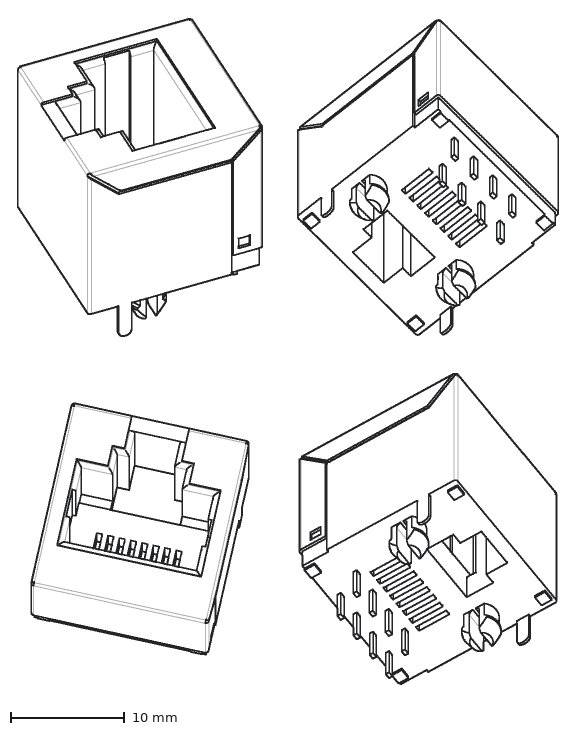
import cadquery as cq
import math


width = 16.0
depth = 16.74
height = 16.25
sheet = 0.25
leg_length = 3.65

side_panel_rear = 13.72
side_panel_front = 2.89
side_panel_top = 13.07
gap_horizontal = 0.34
gap_vertical = 0.16
gap_diagonal = 0.31
rear_flap_bottom = 2.18
overrun = 1.0

window_size = 1.13
window_y = 14.94
window_z = 3.4

lip_clearance = 0.08
lip_radius = 0.46
opening_step = lip_clearance + lip_radius
cavity_half = 5.96
cavity_front = 5.4
cavity_back = 12.24
latch_half = 3.14
latch_front = 3.56
key_half = 2.05
cavity_floor = 4.0
ledge_floor = 3.0
ledge_back = 6.38
relief_half = 6.28
relief_front = 7.58
relief_back = 10.03

bridge_back = 1.33

contact_count = 8
slot_pitch = 1.024
slot_width = 0.5
slot_front = 8.68
slot_back = 11.9

pin_pitch = 1.27
pin_width = 0.53
pin_thickness = 0.37
pin_length = 3.2
pin_rows = (12.95, 15.49)

pad_width = 1.05
pad_depth = 1.05
pad_height = 0.25
pad_x = 6.89
pad_front_y = 0.78
rear_pad_y = depth - sheet - pad_depth / 2

peg_x = 5.715
peg_y = 6.55
peg_width = 2.28
peg_radius = 1.57
barb_radius = 1.74
peg_tip_radius = 1.03
neck_z = -1.68
barb_top_z = -1.93
barb_bottom_z = -2.18
peg_slot_width = 1.04
peg_slot_center_z = -0.5

leg_y = 3.52
leg_width = 1.27
leg_tip_radius = 0.6


def block(x0, x1, y0, y1, z0, z1):
    return cq.Workplane("XY").box(x1 - x0, y1 - y0, z1 - z0, centered=False).translate((x0, y0, z0))


def both_sides(solid):
    return solid.union(solid.mirror("YZ"))


def stepped_outline(offset, front):
    """Plug opening with its latch and key steps, grown outwards by offset and open to front."""
    cavity, latch, key = cavity_half + offset, latch_half + offset, key_half + offset
    right = [
        (key, front),
        (key, latch_front - offset),
        (latch, latch_front - offset),
        (latch, cavity_front - offset),
        (cavity, cavity_front - offset),
        (cavity, cavity_back + offset),
    ]
    left = [(-x, y) for x, y in reversed(right)]
    return cq.Workplane("XY").polyline(right + left).close()


def shield_gaps():
    """Cutter for the gaps between the panels and the step under the rear flap, on the -X side."""
    rise = gap_diagonal / math.sqrt(2)
    rear_flap_front = side_panel_rear + gap_vertical
    top_flap_bottom = side_panel_top + gap_horizontal
    mitre = height - depth
    points = [
        (side_panel_rear, -overrun),
        (side_panel_rear, side_panel_top),
        (side_panel_front, side_panel_top),
        (-overrun, side_panel_top + side_panel_front + overrun),
        (-overrun, height + rise + overrun),
        (height + rise - top_flap_bottom, top_flap_bottom),
        (top_flap_bottom - mitre - rise, top_flap_bottom),
        (depth + overrun, height + overrun + rise),
        (depth + overrun, height + overrun - rise),
        (rear_flap_front, rear_flap_front + mitre - rise),
        (rear_flap_front, rear_flap_bottom),
        (depth + overrun, rear_flap_bottom),
        (depth + overrun, -overrun),
    ]
    gaps = cq.Workplane("YZ").polyline(points).close().extrude(sheet + overrun)
    return gaps.translate((-width / 2 - overrun, 0, 0))


def make_body():
    body = block(-width / 2, width / 2, 0, depth, 0, height)
    body = body.edges("|Z or >Z").fillet(sheet)
    body = body.cut(both_sides(shield_gaps()))
    body = body.cut(block(-width, width, depth - sheet, depth + overrun, -overrun, rear_flap_bottom))
    window = cq.Workplane("XY").box(2 * sheet, window_size, window_size)
    return body.cut(both_sides(window.translate((-width / 2, window_y, window_z))))


def make_lip_cutter():
    """Plug opening between floor and shield, flaring outwards over the rounded lip."""
    lip_z = height - sheet
    blank = block(-width, width, -overrun, depth, 0, lip_z)
    surround = blank.cut(stepped_outline(0, -2 * overrun).extrude(lip_z))
    rim_edges = cq.selectors.BoxSelector(
        (-cavity_half - lip_radius, -overrun / 2, lip_z - lip_radius),
        (cavity_half + lip_radius, cavity_back + lip_radius, lip_z + lip_radius),
    )
    surround = surround.faces(">Z").edges(rim_edges).fillet(lip_radius)
    return blank.cut(surround)


def make_opening(body):
    lip_z = height - sheet
    shield_cut = stepped_outline(opening_step, -overrun).extrude(sheet + overrun)
    body = body.cut(shield_cut.translate((0, 0, lip_z)))

    opening = make_lip_cutter()
    opening = opening.cut(block(-width, width, ledge_back, depth, 0, cavity_floor))
    for side in (-1, 1):
        ledge_center = side * (latch_half + width) / 2
        ledge_width = width - latch_half
        ledge = cq.Workplane("XY").box(ledge_width, ledge_back, ledge_floor, centered=(True, False, False))
        opening = opening.cut(ledge.translate((ledge_center, 0, 0)))
    body = body.cut(opening)

    body = body.cut(block(-relief_half, relief_half, relief_front, relief_back, cavity_floor, lip_z))
    for i in range(contact_count):
        x = (i - (contact_count - 1) / 2) * slot_pitch
        body = body.cut(block(x - slot_width / 2, x + slot_width / 2, slot_front, slot_back, 0, cavity_floor))

    bridge_half = key_half + opening_step
    bridge = block(-bridge_half, bridge_half, 0, bridge_back, 0, lip_z)
    return body.union(bridge)


def make_peg():
    """Round barbed peg with flat sides and a slot between its two prongs."""
    profile = [
        (0, 0),
        (peg_radius, 0),
        (peg_radius, neck_z),
        (barb_radius, barb_top_z),
        (barb_radius, barb_bottom_z),
        (peg_tip_radius, -leg_length),
        (0, -leg_length),
    ]
    peg = cq.Workplane("XZ").polyline(profile).close().revolve(360, (0, 0, 0), (0, 1, 0))
    peg = peg.intersect(cq.Workplane("XY").box(peg_width, 4 * peg_radius, 4 * leg_length))
    half_slot = peg_slot_width / 2
    slot = block(-peg_width, peg_width, -half_slot, half_slot, -2 * leg_length, peg_slot_center_z)
    slot_end = cq.Workplane("YZ").center(0, peg_slot_center_z).circle(half_slot)
    slot = slot.union(slot_end.extrude(peg_width, both=True))
    return peg.cut(slot).translate((-peg_x, peg_y, 0))


def make_leg():
    outer = -width / 2
    half_leg = leg_width / 2
    leg = block(outer, outer + sheet, leg_y - half_leg, leg_y + half_leg, -leg_length, 0)
    return leg.edges("|X and <Z").fillet(leg_tip_radius)


def make_pads():
    pad = cq.Workplane("XY").box(pad_width, pad_depth, pad_height, centered=(True, True, False))
    front_pad = pad.translate((-pad_x, pad_front_y, -pad_height))
    return front_pad.union(pad.translate((-pad_x, rear_pad_y, -pad_height)))


def add_pins(body):
    pin = cq.Workplane("XY").box(pin_width, pin_thickness, pin_length, centered=(True, True, False))
    for i in range(contact_count):
        x = (i - (contact_count - 1) / 2) * pin_pitch
        body = body.union(pin.translate((x, pin_rows[i % 2], -pin_length)))
    return body


result = make_opening(make_body())
for feature in (make_peg(), make_leg(), make_pads()):
    result = result.union(both_sides(feature))
result = add_pins(result)